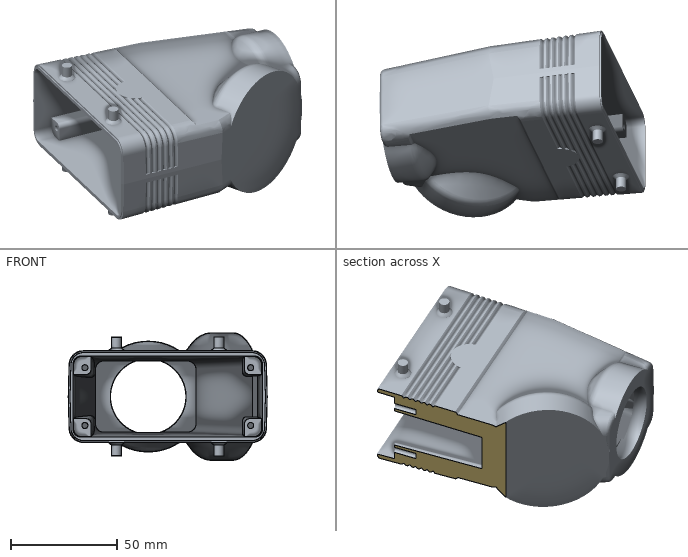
import cadquery as cq
import math

LENGTH = 109.4
WIDTH = 93.5

MOUTH_HALF_X = WIDTH / 2
MOUTH_HALF_Z = 21.5
BACK_HALF_Z = 19.5
SHOULDER_HALF_X = 45.6
SHOULDER_Y = 51.9
RIGHT_SHOULDER_Y = 52.7
BACK_LEFT_X = -35.9
BACK_RIGHT_X = 17.3
SIDE_DRAFT = 0.5
EDGE_RADIUS = 6.8
BACK_EDGE_RADIUS = 2.1
LIP_HEIGHT = 0.5
LIP_INSET = 0.9

PANEL_FRONT_Y = 40.1
PANEL_BACK_Y = 96.0
PANEL_FRONT_Z = 19.6
PANEL_BACK_Z = 18.8
PANEL_RAMP = 1.2

CAVITY_MOUTH_HALF_X = 44.5
CAVITY_MOUTH_HALF_Z = 19.0
CAVITY_BACK_HALF_Z = 16.7
CAVITY_BACK_Y = 102.8
CAVITY_LEFT_X = -42.9
CAVITY_RIGHT_X = 42.1
LEDGE_X = 39.8
CAVITY_BACK_LEFT_X = -33.9
CAVITY_BACK_RIGHT_X = 13.2
CAVITY_RADIUS = 3.8

ENTRY_X = -9.2
ENTRY_RADIUS = 26.0
ENTRY_DEPTH = 13.9
ENTRY_HOLE_RADIUS = 17.7
SIDE_ENTRY_RADIUS = 30.0
SIDE_ENTRY_DEPTH = 13.2
SIDE_ENTRY_ALONG = 29.6
CONE_LENGTH = 14.2
CONE_ANGLE = math.radians(45)
CONE_EDGE_RADIUS = 5.5

GROOVE_COUNT = 6
GROOVE_START_Y = 12.4
GROOVE_BAND = 17.9
GROOVE_PITCH = GROOVE_BAND / GROOVE_COUNT
GROOVE_WIDTH = 2.4
GROOVE_DEPTH = 1.0
GROOVE_OVERCUT = 0.1
GROOVE_SIDE_GAP = 4.4
THUMB_RADIUS = 9.0
THUMB_Y = 30.4

PIN_X = 24.1
PIN_Y = 6.7
PIN_RADIUS = 2.4
PIN_TOP_Z = 27.9
PIN_FOOT_RADIUS = 3.9
PIN_FOOT_HEIGHT = 1.3

POST_FACE_Y = 8.8
POST_INNER_X = 36.1
POST_INNER_Z = 10.4
POST_RADIUS = 2.2
POST_DRAFT = 1.1
SCREW_X = 38.9
SCREW_Z = 13.6
SCREW_RADIUS = 1.4
SCREW_DEPTH = 10.9

CLEAR = 65.6
OVERLAP = 1.1

SLOPE_X = SHOULDER_HALF_X - BACK_RIGHT_X
SLOPE_Y = RIGHT_SHOULDER_Y - LENGTH
SLOPE_LENGTH = math.hypot(SLOPE_X, SLOPE_Y)


def half_x(y):
    return MOUTH_HALF_X + (SHOULDER_HALF_X - MOUTH_HALF_X) * y / SHOULDER_Y


def half_z(y):
    return MOUTH_HALF_Z + (BACK_HALF_Z - MOUTH_HALF_Z) * y / LENGTH


def section_plane(y):
    return cq.Plane(origin=(0, y, 0), xDir=(1, 0, 0), normal=(0, 1, 0))


def skirt_section(y, inset=0.0, radius=0.0):
    """Six-sided cross-section at y, widest at Z = 0, with optional rounded corners."""
    wide = half_x(y) - inset
    narrow = wide - SIDE_DRAFT
    tall = half_z(y) - inset
    corners = [(-narrow, -tall), (narrow, -tall), (wide, 0), (narrow, tall), (-narrow, tall), (-wide, 0)]
    wire = cq.Workplane(section_plane(y)).polyline(corners).close().val()
    if radius:
        rounded = [v for v in wire.Vertices() if abs(v.Z) > tall / 2]
        wire = wire.fillet2D(radius - inset, rounded)
    return wire


def loft(*wires):
    return cq.Workplane(obj=cq.Solid.makeLoft(list(wires), True))


def prism_along_z(points):
    return cq.Workplane("XY").polyline(points).close().extrude(CLEAR, both=True)


def prism_along_x(points):
    return cq.Workplane("YZ").polyline(points).close().extrude(CLEAR, both=True)


def both_faces(shape):
    """The shape together with its mirror image below Z = 0."""
    return shape.union(shape.mirror("XY"))


def make_plan():
    """Plan outline with the sloped sides; the mouth end is left wide for the skirt."""
    return prism_along_z([
        (-CLEAR, 0),
        (CLEAR, 0),
        (SHOULDER_HALF_X, RIGHT_SHOULDER_Y),
        (BACK_RIGHT_X, LENGTH),
        (BACK_LEFT_X, LENGTH),
        (-SHOULDER_HALF_X, SHOULDER_Y),
    ])


def make_shell(plan):
    shell = loft(skirt_section(0), skirt_section(LENGTH)).intersect(plan)
    for side in (1, -1):
        low, high = sorted((side * MOUTH_HALF_Z / 2, side * CLEAR))
        corner_edges = cq.selectors.BoxSelector((-CLEAR, OVERLAP, low), (CLEAR, LENGTH - OVERLAP, high))
        shell = shell.edges(corner_edges).fillet(EDGE_RADIUS)
    return shell.faces(">Y").edges().fillet(BACK_EDGE_RADIUS)


def make_panel_recess():
    recess = prism_along_x([
        (PANEL_FRONT_Y, half_z(PANEL_FRONT_Y)),
        (PANEL_FRONT_Y + PANEL_RAMP, PANEL_FRONT_Z),
        (PANEL_BACK_Y - PANEL_RAMP, PANEL_BACK_Z),
        (PANEL_BACK_Y, half_z(PANEL_BACK_Y)),
        (PANEL_BACK_Y, CLEAR),
        (PANEL_FRONT_Y, CLEAR),
    ])
    return both_faces(recess)


def make_entry_boss(radius, depth, origin, inward):
    """Boss running inward from its flat outer face, with a rounded cone at the inner end."""
    tangent = CONE_EDGE_RADIUS * math.tan(CONE_ANGLE / 2)
    leg = tangent * math.cos(CONE_ANGLE)
    middle_r = radius - CONE_EDGE_RADIUS * (1 - math.cos(CONE_ANGLE / 2))
    middle_d = depth - tangent + CONE_EDGE_RADIUS * math.sin(CONE_ANGLE / 2)
    plane = cq.Plane(origin=origin, xDir=(inward[1], -inward[0], 0), normal=(0, 0, 1))
    return (
        cq.Workplane(plane)
        .moveTo(0, 0)
        .lineTo(radius, 0)
        .lineTo(radius, depth - tangent)
        .threePointArc((middle_r, middle_d), (radius - leg, depth + leg))
        .lineTo(radius - CONE_LENGTH, depth + CONE_LENGTH)
        .lineTo(0, depth + CONE_LENGTH)
        .close()
        .revolve(360, (0, 0), (0, 1))
    )


def make_grooves():
    """V grooves around the skirt, broken by the side strips and the thumb flat."""
    grooves = cq.Workplane()
    for index in range(GROOVE_COUNT):
        start = GROOVE_START_Y + index * GROOVE_PITCH
        middle = start + GROOVE_WIDTH / 2
        end = start + GROOVE_WIDTH
        block = cq.Workplane("XY").box(2 * CLEAR, GROOVE_WIDTH, 2 * CLEAR).translate((0, middle, 0))
        floor = skirt_section(middle, GROOVE_DEPTH, EDGE_RADIUS)
        core = loft(skirt_section(start, -GROOVE_OVERCUT, EDGE_RADIUS), floor)
        core = core.union(loft(floor, skirt_section(end, -GROOVE_OVERCUT, EDGE_RADIUS)))
        grooves = grooves.add(block.cut(core))
    grooves = grooves.combine()
    side_strips = cq.Workplane("XY").box(2 * CLEAR, 2 * CLEAR, GROOVE_SIDE_GAP)
    thumb_flat = cq.Workplane("XY").center(0, THUMB_Y).circle(THUMB_RADIUS).extrude(CLEAR, both=True)
    return grooves.cut(side_strips).cut(thumb_flat)


def make_lip():
    """Shallow step around the outside of the mouth."""
    inner = loft(
        skirt_section(0, LIP_INSET, EDGE_RADIUS),
        skirt_section(LIP_HEIGHT, LIP_INSET, EDGE_RADIUS),
    )
    block = cq.Workplane("XZ").rect(2 * CLEAR, 2 * CLEAR).extrude(-LIP_HEIGHT)
    return block.cut(inner)


def make_pins():
    foot_z = half_z(PIN_Y)
    pin = (
        cq.Workplane("XZ")
        .polyline([
            (0, foot_z - OVERLAP),
            (PIN_FOOT_RADIUS, foot_z - OVERLAP),
            (PIN_FOOT_RADIUS, foot_z),
            (PIN_RADIUS, foot_z + PIN_FOOT_HEIGHT),
            (PIN_RADIUS, PIN_TOP_Z),
            (0, PIN_TOP_Z),
        ])
        .close()
        .revolve(360, (0, 0), (0, 1))
    )
    pair = pin.translate((PIN_X, PIN_Y, 0)).union(pin.translate((-PIN_X, PIN_Y, 0)))
    return both_faces(pair)


def make_posts():
    """Posts that thicken toward the back; their outer sides lie beyond the cavity."""
    growth = (LENGTH - POST_FACE_Y) * math.tan(math.radians(POST_DRAFT))
    plan = prism_along_z([
        (POST_INNER_X, POST_FACE_Y),
        (CLEAR, POST_FACE_Y),
        (CLEAR, LENGTH),
        (POST_INNER_X - growth, LENGTH),
    ])
    profile = prism_along_x([
        (POST_FACE_Y, POST_INNER_Z),
        (POST_FACE_Y, CLEAR),
        (LENGTH, CLEAR),
        (LENGTH, POST_INNER_Z - growth),
    ])
    post = plan.intersect(profile)
    inner_edge = cq.selectors.BoxSelector(
        (0, POST_FACE_Y + OVERLAP, 0),
        (POST_INNER_X + OVERLAP, LENGTH - OVERLAP, POST_INNER_Z + OVERLAP),
    )
    post = post.edges(inner_edge).fillet(POST_RADIUS)
    pair = post.union(post.mirror("YZ"))
    return both_faces(pair)


def make_cavity_part(start_y, end_y, plan_points):
    """Length of the cavity with the given plan, its four long corners rounded."""
    profile = prism_along_x([
        (0, -CAVITY_MOUTH_HALF_Z),
        (0, CAVITY_MOUTH_HALF_Z),
        (CAVITY_BACK_Y, CAVITY_BACK_HALF_Z),
        (CAVITY_BACK_Y, -CAVITY_BACK_HALF_Z),
    ])
    part = prism_along_z(plan_points).intersect(profile)
    for low_z, high_z in ((-CLEAR, -OVERLAP), (OVERLAP, CLEAR)):
        long_edges = cq.selectors.BoxSelector(
            (-CLEAR, start_y + OVERLAP, low_z),
            (CLEAR, end_y - OVERLAP, high_z),
        )
        part = part.edges(long_edges).fillet(CAVITY_RADIUS)
    return part


def make_cavity():
    """Wide front part and narrowing back part; a ledge is left between them on the right."""
    front = make_cavity_part(0, SHOULDER_Y, [
        (-CAVITY_MOUTH_HALF_X, 0),
        (CAVITY_MOUTH_HALF_X, 0),
        (CAVITY_RIGHT_X, SHOULDER_Y),
        (CAVITY_LEFT_X, SHOULDER_Y),
    ])
    back = make_cavity_part(SHOULDER_Y, CAVITY_BACK_Y, [
        (CAVITY_LEFT_X, SHOULDER_Y),
        (LEDGE_X, SHOULDER_Y),
        (CAVITY_BACK_RIGHT_X, CAVITY_BACK_Y),
        (CAVITY_BACK_LEFT_X, CAVITY_BACK_Y),
    ])
    return front.union(back).cut(make_posts())


def make_screw_holes():
    return (
        cq.Workplane(section_plane(POST_FACE_Y))
        .rect(2 * SCREW_X, 2 * SCREW_Z, forConstruction=True)
        .vertices()
        .circle(SCREW_RADIUS)
        .extrude(SCREW_DEPTH)
    )


def make_entry_hole():
    return (
        cq.Workplane(section_plane(CAVITY_BACK_Y - OVERLAP))
        .center(ENTRY_X, 0)
        .circle(ENTRY_HOLE_RADIUS)
        .extrude(CLEAR)
    )


slope_inward = (SLOPE_Y / SLOPE_LENGTH, -SLOPE_X / SLOPE_LENGTH)
side_entry_origin = (
    BACK_RIGHT_X + SLOPE_X * SIDE_ENTRY_ALONG / SLOPE_LENGTH,
    LENGTH + SLOPE_Y * SIDE_ENTRY_ALONG / SLOPE_LENGTH,
    0,
)
plan = make_plan()
back_boss = make_entry_boss(ENTRY_RADIUS, ENTRY_DEPTH, (ENTRY_X, LENGTH, 0), (0, -1))
side_boss = make_entry_boss(SIDE_ENTRY_RADIUS, SIDE_ENTRY_DEPTH, side_entry_origin, slope_inward)

result = (
    make_shell(plan)
    .cut(make_panel_recess())
    .cut(make_grooves())
    .cut(make_lip())
    .union(back_boss.union(side_boss).intersect(plan))
    .union(make_pins())
    .cut(make_cavity())
    .cut(make_entry_hole())
    .cut(make_screw_holes())
)